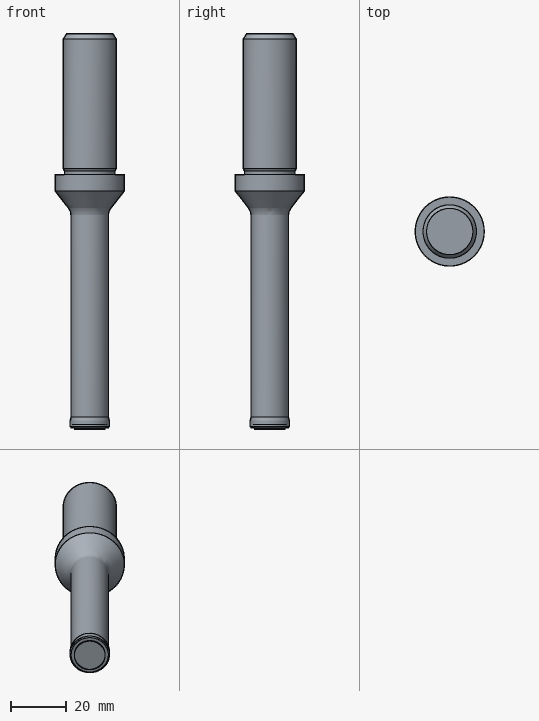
import cadquery as cq

total_height = 142.6
head_bottom = 94.0
collar_top = 91.9
collar_bottom = 85.9
taper_bottom = 78.6

head_radius = 19.3 / 2
neck_radius = 9.1
collar_radius = 25.0 / 2
shank_radius = 13.5 / 2

head_chamfer_width = 1.3
head_chamfer_height = 2.0
head_underside_bevel_height = 0.9
taper_fillet = 4.3

cap_radius = 7.1
cap_height = 4.5
cap_top_bevel_height = 1.4
cap_base_bevel = 0.4
cap_foot_radius = 5.5
cap_foot_height = 0.5
cap_floor = 1.7


def revolve_profile(points):
    """Turn a closed (radius, height) outline around the Z axis."""
    return cq.Workplane("XZ").polyline(points).close().revolve(360, (0, 0, 0), (0, 1, 0))


def make_pin():
    """Chamfered head, undercut neck, collar and tapered shank, seated on the cap floor."""
    pin = revolve_profile([
        (0, cap_floor),
        (shank_radius, cap_floor),
        (shank_radius, taper_bottom),
        (collar_radius, collar_bottom),
        (collar_radius, collar_top),
        (neck_radius, collar_top),
        (neck_radius, head_bottom - head_underside_bevel_height),
        (head_radius, head_bottom),
        (head_radius, total_height - head_chamfer_height),
        (head_radius - head_chamfer_width, total_height),
        (0, total_height),
    ])
    tolerance = 0.1
    taper_edge = cq.selectors.BoxSelector(
        (-collar_radius, -collar_radius, taper_bottom - tolerance),
        (collar_radius, collar_radius, taper_bottom + tolerance),
        boundingbox=True,
    )
    return pin.edges(taper_edge).fillet(taper_fillet)


def make_end_cap():
    """Cup around the lower end of the shank, bevelled at its rim and base, with a low round foot."""
    return revolve_profile([
        (0, 0),
        (cap_foot_radius, 0),
        (cap_foot_radius, cap_foot_height),
        (cap_radius - cap_base_bevel, cap_foot_height),
        (cap_radius, cap_foot_height + cap_base_bevel),
        (cap_radius, cap_height - cap_top_bevel_height),
        (shank_radius, cap_height),
        (shank_radius, cap_floor),
        (0, cap_floor),
    ])


pin = make_pin()
end_cap = make_end_cap()

result = cq.Compound.makeCompound([pin.val(), end_cap.val()])